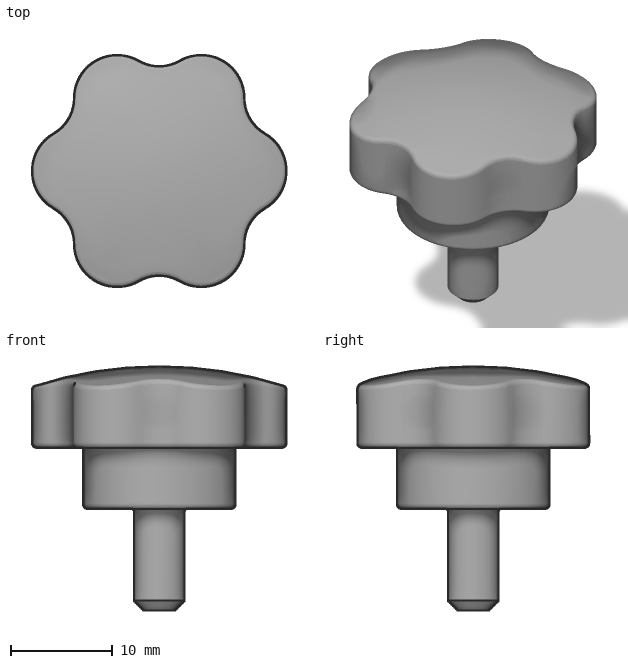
import cadquery as cq
import math

stud_radius = 2.5
stud_length = 10.0
tip_chamfer = 1.0
hub_radius = 7.5
hub_height = 6.0
total_height = 24.0
lobe_count = 6
grip_radius = 12.5
lobe_radius = 4.25
valley_radius = 4.0
dome_radius = 40.0
edge_round = 0.5
root_round = 0.2

hub_bottom = stud_length
head_bottom = hub_bottom + hub_height
overlap = 0.25


def polar(radius, angle):
    """Point at the given distance from the axis and angle in radians."""
    return (radius * math.cos(angle), radius * math.sin(angle))


def lobed_outline():
    """Convex lobes joined by tangent concave valleys."""
    half_step = math.pi / lobe_count
    lobe_distance = grip_radius - lobe_radius
    half_gap = lobe_distance * math.sin(half_step)
    center_distance = lobe_radius + valley_radius
    valley_distance = (lobe_distance * math.cos(half_step)
                       + math.sqrt(center_distance**2 - half_gap**2))
    valley_bottom = valley_distance - valley_radius

    share = lobe_radius / center_distance
    lobe_x, lobe_y = lobe_distance, 0.0
    valley_x, valley_y = polar(valley_distance, half_step)
    joint_x = lobe_x + share * (valley_x - lobe_x)
    joint_y = lobe_y + share * (valley_y - lobe_y)
    joint_radius = math.hypot(joint_x, joint_y)
    joint_angle = math.atan2(joint_y, joint_x)

    outline = cq.Workplane("XY").workplane(offset=head_bottom)
    outline = outline.moveTo(*polar(joint_radius, -joint_angle))
    for index in range(lobe_count):
        angle = 2 * index * half_step
        next_angle = angle + 2 * half_step
        outline = outline.threePointArc(
            polar(grip_radius, angle), polar(joint_radius, angle + joint_angle))
        outline = outline.threePointArc(
            polar(valley_bottom, angle + half_step), polar(joint_radius, next_angle - joint_angle))
    return outline.close()


def make_head():
    """Lobed grip with a domed top and rounded rims."""
    prism = lobed_outline().extrude(total_height - head_bottom)
    dome = cq.Workplane("XY").sphere(dome_radius).translate((0, 0, total_height - dome_radius))
    return prism.intersect(dome).edges("not |Z").fillet(edge_round)


def make_shank():
    """Hub and chamfered stud as one turned body, with all its rounds in the profile."""
    arc_inset = 1 - math.sqrt(0.5)
    root_outer = stud_radius + root_round
    root_bottom = hub_bottom - root_round
    rim_inner = hub_radius - edge_round
    shank_top = head_bottom + overlap
    profile = (
        cq.Workplane("XZ")
        .lineTo(stud_radius - tip_chamfer, 0)
        .lineTo(stud_radius, tip_chamfer)
        .lineTo(stud_radius, root_bottom)
        .threePointArc(
            (stud_radius + root_round * arc_inset, hub_bottom - root_round * arc_inset),
            (root_outer, hub_bottom),
        )
        .lineTo(rim_inner, hub_bottom)
        .threePointArc(
            (hub_radius - edge_round * arc_inset, hub_bottom + edge_round * arc_inset),
            (hub_radius, hub_bottom + edge_round),
        )
        .lineTo(hub_radius, shank_top)
        .lineTo(0, shank_top)
        .close()
    )
    return profile.revolve(360, (0, 0, 0), (0, 1, 0))


result = make_head().union(make_shank())